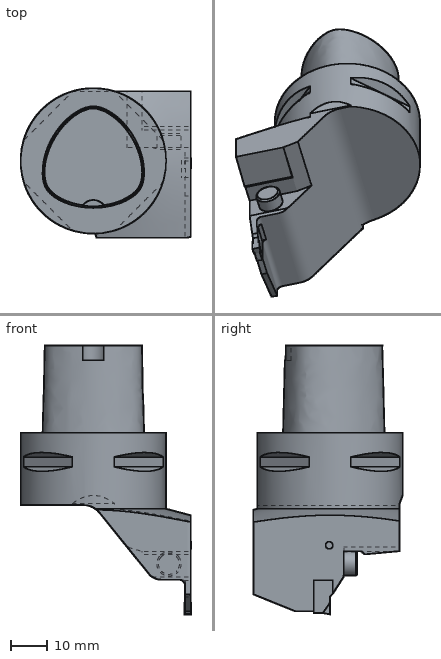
import cadquery as cq
import math

OVERALL_LENGTH_X = 47.0
OVERALL_WIDTH_Y = 41.15
OVERALL_HEIGHT = 74.0

COLLAR_DIAMETER = 40.0
COLLAR_RADIUS = COLLAR_DIAMETER / 2
COLLAR_HEIGHT = 20.0
COLLAR_FLAT_START_Z = -17.25
COLLAR_FLAT_END_Z = -19.45

SHANK_HEIGHT = 24.0
SHANK_BASE_RADIUS = 14.0
SHANK_TOP_RADIUS = 13.4
LOBE_OFFSET = 1.0
SHANK_CURVE_POINTS = 48
KEYWAY_DIAMETER = 7.0
KEYWAY_DEPTH = 4.1
KEYWAY_INNER_Y = -10.7

GROOVE_COUNT = 4
GROOVE_FLOOR_RADIUS = 17.6
GROOVE_CENTRE_Z = -8.1
GROOVE_FLOOR_HALF_HEIGHT = 1.3
GROOVE_MOUTH_RADIUS = 20.7
GROOVE_MOUTH_HALF_HEIGHT = 2.95

ARM_RIGHT_X = 26.8
ARM_FRONT_Y = COLLAR_RADIUS - OVERALL_WIDTH_Y
ARM_BACK_Y = 19.2
ARM_OVERLAP = 3.7
ARM_SLOPE_BOTTOM_X = 16.6
ARM_BOTTOM_Z = -40.5
ARM_ROOT_FILLET = 5.55
ARM_TOE_FILLET = 4.45
SHOULDER_FILLET = 1.5
CONE_START_Z = -20.95
CONE_ANGLE = 14.7
CONE_OUTER_RADIUS = 37.0
EDGE_CHAMFER_X = 0.9
EDGE_CHAMFER_Y = 0.2

BLADE_LEFT_X = 25.15
BLADE_BOTTOM_Z = -49.1
BLADE_HEEL_Y = -9.6
BLADE_HEEL_Z = -44.5

RELIEF_WALL_Y = 3.8
RELIEF_WALL_BOTTOM_Z = -39.7
RELIEF_OUTER_Z = -32.6
RELIEF_INNER_Y = 9.55
RELIEF_INNER_Z = -33.5
RELIEF_NOTCH_Y = 8.5
LEAD_IN_START_X = 8.5
LEAD_IN_START_Z = -31.15
LEAD_IN_END_X = 13.3
BOSS_DIAMETER = 6.65
BOSS_CENTRE_X = 20.7
BOSS_CENTRE_Z = -36.05
BOSS_END_Y = 7.55
BOSS_CHAMFER = 0.45
STUD_DIAMETER = 2.0
STUD_CENTRE_Y = -0.2
STUD_CENTRE_Z = -31.0

INSERT_BACK_Y = -4.5
INSERT_STEP_Y = 0.8
INSERT_TOP_Z = -40.55
INSERT_STEP_TOP_Z = -44.25
INSERT_STEP_BOTTOM_Z = -45.15
INSERT_BOTTOM_Z = -49.65
INSERT_TIP_Z = SHANK_HEIGHT - OVERALL_HEIGHT
INSERT_LEFT_X = 25.3
TIP_LEFT_X = 25.0
TIP_RIGHT_X = OVERALL_LENGTH_X - COLLAR_RADIUS
TIP_TOP_Z = -46.8
TIP_LENGTH = 2.0

CLEARANCE = 7.4
LOWEST_Z = INSERT_TIP_Z - CLEARANCE


def yz_prism(points, start_x, end_x):
    """Extrude a (Y, Z) outline along X."""
    plane = cq.Workplane("YZ", origin=(start_x, 0, 0))
    return plane.polyline(points).close().extrude(end_x - start_x)


def xz_prism(points, start_y, end_y):
    """Extrude an (X, Z) outline along Y."""
    plane = cq.Workplane("XZ", origin=(0, end_y, 0))
    return plane.polyline(points).close().extrude(end_y - start_y)


def lobe_wire(radius, z):
    """Three-lobed polygon curve with one lobe pointing toward +Y."""
    points = []
    for index in range(SHANK_CURVE_POINTS):
        angle = 2 * math.pi * index / SHANK_CURVE_POINTS
        along = (radius * math.cos(angle) - 2 * LOBE_OFFSET * math.cos(2 * angle)
                 + LOBE_OFFSET * math.cos(4 * angle))
        across = (radius * math.sin(angle) + 2 * LOBE_OFFSET * math.sin(2 * angle)
                  + LOBE_OFFSET * math.sin(4 * angle))
        points.append(cq.Vector(across, -along, z))
    return cq.Wire.assembleEdges([cq.Edge.makeSpline(points, periodic=True)])


def make_shank():
    base = lobe_wire(SHANK_BASE_RADIUS, 0)
    top = lobe_wire(SHANK_TOP_RADIUS, SHANK_HEIGHT)
    shank = cq.Workplane(cq.Solid.makeLoft([base, top], True))
    keyway = (
        cq.Workplane("XY", origin=(0, 0, SHANK_HEIGHT - KEYWAY_DEPTH))
        .center(0, KEYWAY_INNER_Y - KEYWAY_DIAMETER / 2)
        .circle(KEYWAY_DIAMETER / 2)
        .extrude(KEYWAY_DEPTH)
    )
    return shank.cut(keyway)


def make_gripper_groove(angle):
    outline = [
        (GROOVE_FLOOR_RADIUS, GROOVE_CENTRE_Z - GROOVE_FLOOR_HALF_HEIGHT),
        (GROOVE_MOUTH_RADIUS, GROOVE_CENTRE_Z - GROOVE_MOUTH_HALF_HEIGHT),
        (GROOVE_MOUTH_RADIUS, GROOVE_CENTRE_Z + GROOVE_MOUTH_HALF_HEIGHT),
        (GROOVE_FLOOR_RADIUS, GROOVE_CENTRE_Z + GROOVE_FLOOR_HALF_HEIGHT),
    ]
    groove = xz_prism(outline, -COLLAR_RADIUS, COLLAR_RADIUS)
    return groove.rotate((0, 0, 0), (0, 0, 1), angle)


def cut_collar_features(body):
    for index in range(GROOVE_COUNT):
        body = body.cut(make_gripper_groove((index + 0.5) * 360 / GROOVE_COUNT))
    back_flat = yz_prism(
        [
            (COLLAR_RADIUS, COLLAR_FLAT_START_Z),
            (ARM_BACK_Y, COLLAR_FLAT_END_Z),
            (ARM_BACK_Y, -COLLAR_HEIGHT),
            (COLLAR_RADIUS, -COLLAR_HEIGHT),
        ],
        -COLLAR_RADIUS,
        COLLAR_RADIUS,
    )
    return body.cut(back_flat)


def fillet_along_y(body, x, z, radius):
    """Round the Y-direction edge nearest to the given X and Z."""
    middle_y = (ARM_FRONT_Y + ARM_BACK_Y) / 2
    edge = cq.selectors.NearestToPointSelector((x, middle_y, z))
    return body.edges("|Y").edges(edge).fillet(radius)


def make_arm_profile():
    arm_top_z = COLLAR_FLAT_START_Z
    outline = [
        (-ARM_OVERLAP, arm_top_z),
        (-ARM_OVERLAP, -COLLAR_HEIGHT),
        (0, -COLLAR_HEIGHT),
        (ARM_SLOPE_BOTTOM_X, ARM_BOTTOM_Z),
        (BLADE_LEFT_X, ARM_BOTTOM_Z),
        (BLADE_LEFT_X, BLADE_BOTTOM_Z),
        (ARM_RIGHT_X, BLADE_BOTTOM_Z),
        (ARM_RIGHT_X, arm_top_z),
    ]
    arm = xz_prism(outline, ARM_FRONT_Y, ARM_BACK_Y)
    arm = fillet_along_y(arm, 0, -COLLAR_HEIGHT, ARM_ROOT_FILLET)
    arm = fillet_along_y(arm, ARM_SLOPE_BOTTOM_X, ARM_BOTTOM_Z, ARM_TOE_FILLET)
    return fillet_along_y(arm, BLADE_LEFT_X, ARM_BOTTOM_Z, SHOULDER_FILLET)


def make_cone_envelope():
    """Collar cylinder that flares into the conical top of the arm."""
    drop = (CONE_OUTER_RADIUS - COLLAR_RADIUS) * math.tan(math.radians(CONE_ANGLE))
    outline = [
        (0, 0),
        (COLLAR_RADIUS, 0),
        (COLLAR_RADIUS, CONE_START_Z),
        (CONE_OUTER_RADIUS, CONE_START_Z - drop),
        (CONE_OUTER_RADIUS, LOWEST_Z),
        (0, LOWEST_Z),
    ]
    return cq.Workplane("XZ").polyline(outline).close().revolve(360, (0, 0), (0, 1))


def make_collar_and_arm():
    """Collar and arm shaped together so that they share one cylindrical side."""
    collar_block = xz_prism(
        [
            (-COLLAR_RADIUS, 0),
            (-COLLAR_RADIUS, -COLLAR_HEIGHT),
            (COLLAR_RADIUS, -COLLAR_HEIGHT),
            (COLLAR_RADIUS, 0),
        ],
        -COLLAR_RADIUS,
        COLLAR_RADIUS,
    )
    blank = collar_block.union(make_arm_profile())
    return blank.intersect(make_cone_envelope())


def make_relief():
    """Space behind the blade."""
    outline = [
        (ARM_BACK_Y, RELIEF_OUTER_Z),
        (RELIEF_INNER_Y, RELIEF_INNER_Z),
        (RELIEF_NOTCH_Y, RELIEF_OUTER_Z),
        (RELIEF_WALL_Y, RELIEF_OUTER_Z),
        (RELIEF_WALL_Y, LOWEST_Z),
        (ARM_BACK_Y, LOWEST_Z),
    ]
    return yz_prism(outline, 0, ARM_RIGHT_X + CLEARANCE)


def make_relief_lead_in():
    """Wedge where the relief ceiling rises to meet the slope of the arm."""
    outline = [
        (LEAD_IN_START_X, LEAD_IN_START_Z),
        (LEAD_IN_END_X, RELIEF_OUTER_Z),
        (LEAD_IN_END_X, RELIEF_INNER_Z),
        (LEAD_IN_START_X, RELIEF_INNER_Z),
    ]
    return xz_prism(outline, RELIEF_WALL_Y, ARM_BACK_Y)


def make_blade_nose_cut():
    """Slanted trim between the relief wall and the insert."""
    outline = [
        (RELIEF_WALL_Y, RELIEF_WALL_BOTTOM_Z),
        (INSERT_STEP_Y, INSERT_STEP_TOP_Z),
        (INSERT_STEP_Y, LOWEST_Z),
        (RELIEF_WALL_Y, LOWEST_Z),
    ]
    return yz_prism(outline, 0, ARM_RIGHT_X)


def make_blade_heel_cut():
    outline = [
        (BLADE_HEEL_Y, BLADE_BOTTOM_Z),
        (ARM_FRONT_Y, BLADE_HEEL_Z),
        (ARM_FRONT_Y, BLADE_BOTTOM_Z),
    ]
    return yz_prism(outline, 0, ARM_RIGHT_X)


def make_insert_slot():
    """Slot across the blade, open below, that seats the insert."""
    outline = [
        (INSERT_BACK_Y, INSERT_TOP_Z),
        (INSERT_STEP_Y, INSERT_TOP_Z),
        (INSERT_STEP_Y, LOWEST_Z),
        (INSERT_BACK_Y, LOWEST_Z),
    ]
    return yz_prism(outline, 0, ARM_RIGHT_X)


def make_edge_chamfer():
    outline = [
        (ARM_RIGHT_X, ARM_FRONT_Y),
        (ARM_RIGHT_X, ARM_FRONT_Y + EDGE_CHAMFER_Y),
        (ARM_RIGHT_X - EDGE_CHAMFER_X, ARM_FRONT_Y),
    ]
    return cq.Workplane("XY").polyline(outline).close().extrude(LOWEST_Z)


def make_boss():
    return (
        cq.Workplane("XZ", origin=(BOSS_CENTRE_X, RELIEF_WALL_Y, BOSS_CENTRE_Z))
        .circle(BOSS_DIAMETER / 2)
        .extrude(RELIEF_WALL_Y - BOSS_END_Y)
        .faces(">Y")
        .chamfer(BOSS_CHAMFER)
    )


def make_stud():
    """Low round stud on the +X face of the arm."""
    return (
        cq.Workplane("YZ", origin=(ARM_RIGHT_X, STUD_CENTRE_Y, STUD_CENTRE_Z))
        .circle(STUD_DIAMETER / 2)
        .extrude(TIP_RIGHT_X - ARM_RIGHT_X)
    )


def cut_arm_features(body):
    body = body.cut(make_relief())
    body = body.cut(make_relief_lead_in())
    body = body.cut(make_blade_nose_cut())
    body = body.cut(make_blade_heel_cut())
    body = body.cut(make_insert_slot())
    return body.cut(make_edge_chamfer())


def make_holder():
    body = cut_arm_features(cut_collar_features(make_collar_and_arm()))
    return body.union(make_shank()).union(make_boss()).union(make_stud())


def make_insert():
    shank_outline = [
        (INSERT_BACK_Y, INSERT_TOP_Z),
        (INSERT_STEP_Y, INSERT_TOP_Z),
        (INSERT_STEP_Y, INSERT_STEP_TOP_Z),
        (0, INSERT_STEP_BOTTOM_Z),
        (0, INSERT_BOTTOM_Z),
        (INSERT_BACK_Y, INSERT_BOTTOM_Z),
    ]
    insert = yz_prism(shank_outline, INSERT_LEFT_X, ARM_RIGHT_X)
    tip_outline = [
        (0, TIP_TOP_Z),
        (-TIP_LENGTH, INSERT_BOTTOM_Z),
        (0, INSERT_TIP_Z),
    ]
    return insert.union(yz_prism(tip_outline, TIP_LEFT_X, TIP_RIGHT_X))


holder = make_holder()
insert = make_insert()
result = cq.Compound.makeCompound([holder.solids().val(), insert.solids().val()])